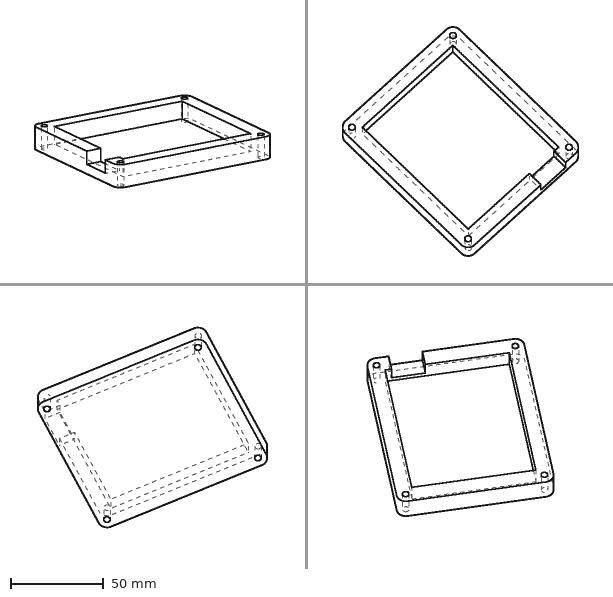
import cadquery as cq

LENGTH_X = 86.0
LENGTH_Y = 100.0
HEIGHT = 13.0
CORNER_RADIUS = 5.0

WALL = 9.0
POCKET_DEPTH = 10.0

NOTCH_LEFT = 55.0
NOTCH_WIDTH = 18.5
NOTCH_DEPTH = 7.5

HOLE_DIAMETER = 3.5
HOLE_INSET = CORNER_RADIUS


def make_body():
    """Solid block with rounded vertical corners, centred in X and Y, standing on Z = 0."""
    block = cq.Workplane("XY").box(LENGTH_X, LENGTH_Y, HEIGHT, centered=(True, True, False))
    return block.edges("|Z").fillet(CORNER_RADIUS)


def make_pocket():
    """Cutter for the pocket that leaves an even wall all round."""
    return (
        cq.Workplane("XY")
        .workplane(offset=HEIGHT - POCKET_DEPTH)
        .rect(LENGTH_X - 2 * WALL, LENGTH_Y - 2 * WALL)
        .extrude(POCKET_DEPTH)
    )


def make_notch():
    """Cutter for the opening in the top of the -Y wall."""
    return (
        cq.Workplane("XY")
        .box(NOTCH_WIDTH, WALL, NOTCH_DEPTH, centered=False)
        .translate((NOTCH_LEFT - LENGTH_X / 2, -LENGTH_Y / 2, HEIGHT - NOTCH_DEPTH))
    )


def make_corner_holes():
    """Cutters for the four through holes."""
    return (
        cq.Workplane("XY")
        .rect(LENGTH_X - 2 * HOLE_INSET, LENGTH_Y - 2 * HOLE_INSET, forConstruction=True)
        .vertices()
        .circle(HOLE_DIAMETER / 2)
        .extrude(HEIGHT)
    )


result = make_body().cut(make_pocket()).cut(make_notch()).cut(make_corner_holes())